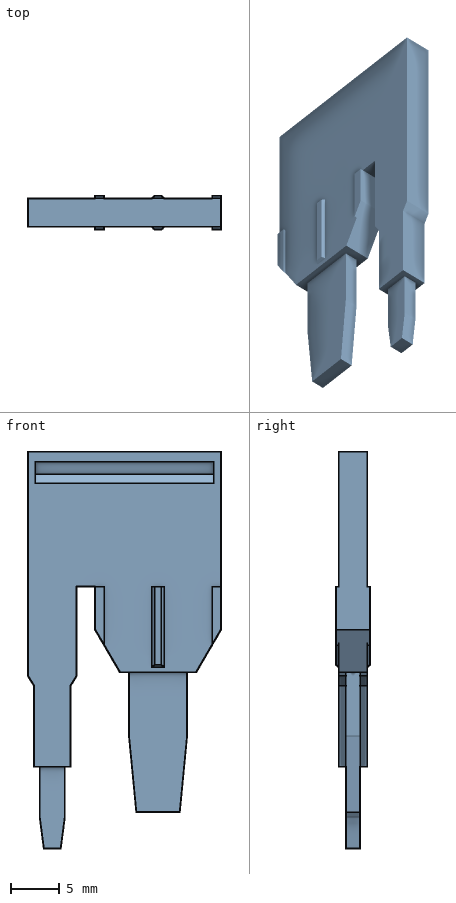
import cadquery as cq

height = 41.25
width = 20.08
body_thickness = 2.95
rib_height = 0.3
blade_thickness = 1.5

fork_z = height - 14.0
leg_width = 5.07
leg_taper_top_z = height - 23.3
leg_taper_bottom_z = height - 24.3
leg_inset = 0.6
leg_bottom_z = height - 32.75
lug_left = 6.95
lug_taper_z = height - 18.47
lug_bottom_z = height - 22.92
lug_inset = 2.6

leg_blade_width = 2.65
leg_blade_tip_width = 1.77
leg_blade_taper_z = 3.3
lug_blade_width = 6.05
lug_blade_tip_width = 4.55
lug_blade_taper_z = height - 29.52
lug_blade_tip_z = height - 37.45

edge_rib_width = 0.95
centre_rib_base_width = 1.28
centre_rib_top_width = 0.7
centre_rib_bottom_z = height - 22.4
rib_end_slope = 0.25

groove_side_margin = 0.75
groove_top_z = height - 1.05
groove_ledge_z = height - 2.35
groove_bottom_z = height - 3.3
groove_depth = 1.2
groove_slope_depth = 0.58

leg_centre = leg_width / 2
lug_centre = (lug_left + width) / 2
front_y = -body_thickness / 2


def plate(points, thickness):
    """Extrude an XZ outline symmetrically about the mid-plane."""
    return cq.Workplane("XZ").polyline(points).close().extrude(thickness / 2, both=True)


def blade(centre, blade_width, tip_width, root_z, taper_z, tip_z):
    """Flat contact blade with a tapered tip."""
    half = blade_width / 2
    half_tip = tip_width / 2
    outline = [
        (centre - half, root_z),
        (centre - half, taper_z),
        (centre - half_tip, tip_z),
        (centre + half_tip, tip_z),
        (centre + half, taper_z),
        (centre + half, root_z),
    ]
    return plate(outline, blade_thickness)


def centre_rib():
    """Rib with sloping sides and lower end, standing on the front face."""
    half_base = centre_rib_base_width / 2
    half_top = centre_rib_top_width / 2
    rib = (
        cq.Workplane("XY", origin=(lug_centre, front_y, centre_rib_bottom_z))
        .polyline([(-half_base, 0), (-half_top, -rib_height), (half_top, -rib_height), (half_base, 0)])
        .close()
        .extrude(fork_z - centre_rib_bottom_z)
    )
    end_cut = (
        cq.Workplane("YZ", origin=(lug_centre, front_y, centre_rib_bottom_z))
        .polyline([(0, 0), (-rib_height, rib_end_slope), (-rib_height, 0)])
        .close()
        .extrude(half_base, both=True)
    )
    return rib.cut(end_cut)


leg_outline = [
    (0, height),
    (0, leg_taper_top_z),
    (leg_inset, leg_taper_bottom_z),
    (leg_inset, leg_bottom_z),
    (leg_width - leg_inset, leg_bottom_z),
    (leg_width - leg_inset, leg_taper_bottom_z),
    (leg_width, leg_taper_top_z),
    (leg_width, fork_z),
]
lug_outline = [
    (lug_left, fork_z),
    (lug_left, lug_taper_z),
    (lug_left + lug_inset, lug_bottom_z),
    (width - lug_inset, lug_bottom_z),
    (width, lug_taper_z),
    (width, fork_z),
]
body = plate(leg_outline + lug_outline + [(width, height)], body_thickness)

edge_ribs = plate(lug_outline, body_thickness + 2 * rib_height).cut(
    cq.Workplane("XZ")
    .rect(width - lug_left - 2 * edge_rib_width, 2 * height)
    .extrude(body_thickness, both=True)
    .translate((lug_centre, 0, 0))
)

front_rib = centre_rib()
back_rib = front_rib.mirror("XZ")

leg_blade = blade(
    leg_centre, leg_blade_width, leg_blade_tip_width, leg_bottom_z, leg_blade_taper_z, 0
)
lug_blade = blade(
    lug_centre, lug_blade_width, lug_blade_tip_width, lug_bottom_z, lug_blade_taper_z, lug_blade_tip_z
)

groove = (
    cq.Workplane("YZ", origin=(groove_side_margin, front_y, 0))
    .polyline([
        (0, groove_top_z),
        (0, groove_bottom_z),
        (groove_slope_depth, groove_ledge_z),
        (groove_depth, groove_ledge_z),
        (groove_depth, groove_top_z),
    ])
    .close()
    .extrude(width - 2 * groove_side_margin)
)

result = body.cut(groove)
for feature in (edge_ribs, front_rib, back_rib, leg_blade, lug_blade):
    result = result.union(feature)